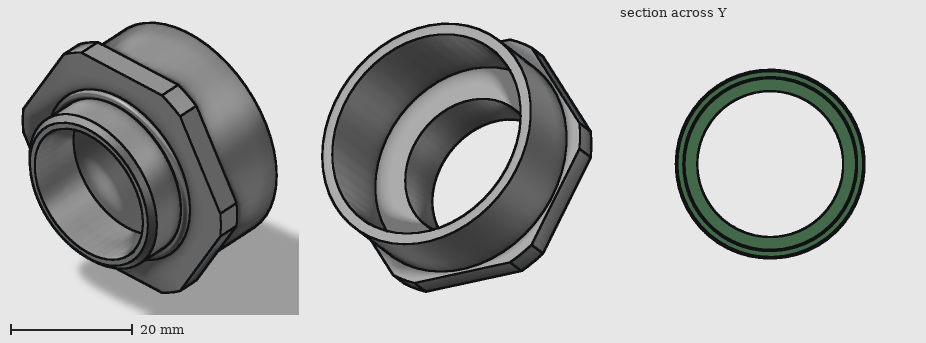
import cadquery as cq
import math

corner_diameter = 43.75
across_flats = 40.0
flange_thickness = 4.0

socket_diameter = 38.8
socket_length = 12.47
socket_bore_diameter = 35.0
socket_bore_depth = 15.0

spigot_diameter = 28.2
spigot_length = 8.05
spigot_chamfer = 1.05
bore_diameter = 23.9

ring_outer_diameter = 31.0
ring_thickness = 1.5

flange_back = flange_thickness
socket_end = flange_back + socket_length
socket_floor = socket_end - socket_bore_depth
spigot_end = -spigot_length


def cylinder(diameter, start, end):
    """Cylinder along the Y axis between two Y positions."""
    profile = cq.Workplane("XZ", origin=(0, start, 0)).circle(diameter / 2)
    return profile.extrude(start - end)


def make_flange():
    hexagon = (
        cq.Workplane("XZ")
        .polygon(6, across_flats / math.cos(math.pi / 6))
        .extrude(-flange_thickness)
    )
    return hexagon.intersect(cylinder(corner_diameter, 0, flange_back))


def make_spigot():
    spigot = cylinder(spigot_diameter, flange_back, spigot_end)
    return spigot.faces("<Y").chamfer(spigot_chamfer)


def make_sealing_ring():
    tube_radius = ring_thickness / 2
    tube_center = ring_outer_diameter / 2 - tube_radius
    return (
        cq.Workplane("XY")
        .center(tube_center, -tube_radius)
        .circle(tube_radius)
        .revolve(360, (-tube_center, 0), (-tube_center, 1))
    )


body = make_flange().union(cylinder(socket_diameter, flange_back, socket_end))
body = body.union(make_spigot()).union(make_sealing_ring())
body = body.cut(cylinder(socket_bore_diameter, socket_floor, socket_end))
result = body.cut(cylinder(bore_diameter, spigot_end, flange_back))